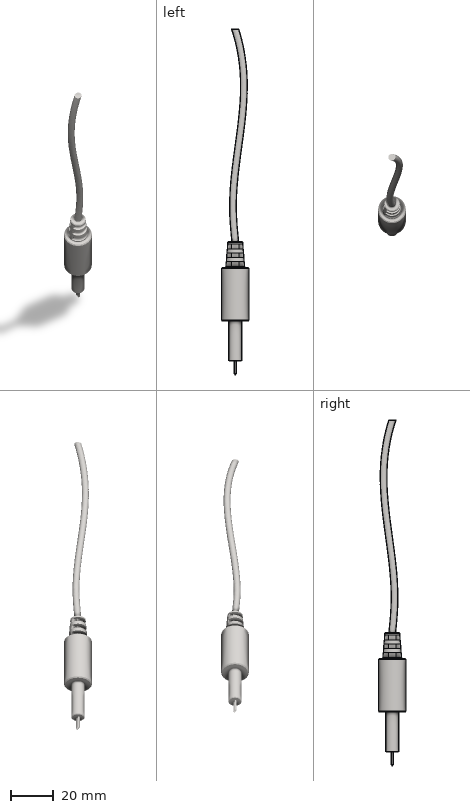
import cadquery as cq

barrel_bottom = 6.5
body_bottom = 25.0
body_top = 50.1
relief_top = 62.2
total_height = 161.7

body_diameter = 13.0
body_edge = 0.5
barrel_diameter = 6.1
barrel_edge = 0.3

pin_diameter = 1.0
pin_offset = 0.61
pin_tip_length = 0.6
pin_tip_diameter = 0.25

relief_bottom_radius = 4.5
relief_top_radius = 3.5
relief_edge = 0.3
core_width = 3.4
web_thickness = 1.8
notch_height = 2.3
notch_pitch = 4.0
flange_height = 0.6
first_notch_bottom = body_top + flange_height
notch_count = 3

cable_diameter = 3.2
lower_bend = (1.05, 76.8)
upper_bend = (-4.0, 135.8)
trim_allowance = 3.2
cable_start_slope = 0.1
cable_end_slope = 0.38


def cylinder(diameter, bottom, top):
    return cq.Workplane("XY").workplane(offset=bottom).circle(diameter / 2).extrude(top - bottom)


def make_pin(x):
    """Round contact pin with a conical tip at Z = 0, rooted in the barrel."""
    shank = cylinder(pin_diameter, pin_tip_length, barrel_bottom).translate((x, 0, 0))
    tip = (
        cq.Workplane("XY")
        .center(x, 0)
        .circle(pin_tip_diameter / 2)
        .workplane(offset=pin_tip_length)
        .circle(pin_diameter / 2)
        .loft()
    )
    return shank.union(tip)


def make_strain_relief():
    """Tapered sleeve notched down to a square core and a flat web across Y."""
    height = relief_top - body_top
    sleeve = (
        cq.Workplane("XY")
        .workplane(offset=body_top)
        .circle(relief_bottom_radius)
        .workplane(offset=height)
        .circle(relief_top_radius)
        .loft()
        .faces(">Z")
        .chamfer(relief_edge)
    )
    base = cq.Workplane("XY").workplane(offset=body_top)
    core = base.rect(core_width, core_width).extrude(height)
    web = base.rect(web_thickness, 2 * relief_bottom_radius).extrude(height)
    kept = core.union(web)
    for index in range(notch_count):
        bottom = first_notch_bottom + index * notch_pitch
        notch = cylinder(2 * relief_bottom_radius, bottom, bottom + notch_height).cut(kept)
        sleeve = sleeve.cut(notch)
    return sleeve


def make_cable():
    """S-bent cable, swept slightly long and trimmed flat at the top."""
    end_height = total_height + trim_allowance
    path = cq.Workplane("YZ").spline(
        [(0, relief_top), lower_bend, upper_bend, (cable_end_slope * trim_allowance, end_height)],
        tangents=[(cable_start_slope, 1), (cable_end_slope, 1)],
    )
    start = cq.Plane(
        origin=(0, 0, relief_top), xDir=(1, 0, 0), normal=(0, cable_start_slope, 1)
    )
    cable = cq.Workplane(start).circle(cable_diameter / 2).sweep(path)
    excess = cylinder(2 * body_diameter, total_height, end_height + trim_allowance)
    stub = cylinder(cable_diameter, body_top, relief_top)
    return cable.cut(excess).union(stub)


body = cylinder(body_diameter, body_bottom, body_top).faces("<Z or >Z").chamfer(body_edge)
barrel = cylinder(barrel_diameter, barrel_bottom, body_bottom).faces("<Z").chamfer(barrel_edge)

result = body.union(barrel).union(make_strain_relief()).union(make_cable())
for side in (-1, 1):
    result = result.union(make_pin(side * pin_offset))